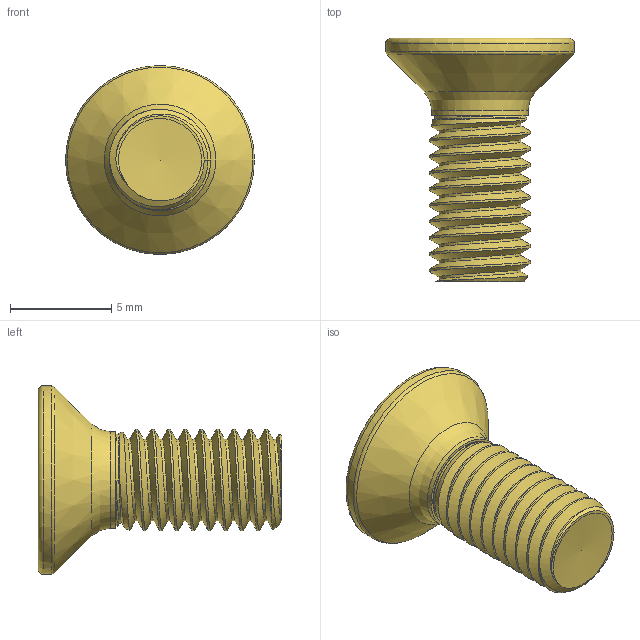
import cadquery as cq
import math

length = 12.0

head_radius = 4.65
head_land_depth = 0.75
head_edge_fillet = 0.25

neck_radius = 2.38
neck_end_depth = 3.8
neck_fillet = 1.28

pitch = 0.8
major_radius = 2.5
minor_radius = 2.02
flank_angle = 30.0
root_width = 0.14
tip_radius = 2.18
tip_chamfer_length = 0.52
lead_in_radius = 2.25
lead_in_end_depth = 4.6

tip_dimple_radius = 2.05
tip_dimple_depth = 0.1

groove_end_depth = 4.24
groove_turns = 11
groove_overshoot = 0.04
run_out_turns = 0.5
run_out_height = 0.34
run_out_rise = 0.22
fade_turns = 0.5
fade_height = 0.03
fade_rise = 0.06
cylinder_angle = 360.0


def make_head():
    """Countersunk head with its rounded rim and the filleted neck."""
    cone_end_depth = head_land_depth + head_radius - neck_radius
    profile = (
        cq.Workplane("XZ")
        .lineTo(head_radius, 0)
        .lineTo(head_radius, -head_land_depth)
        .lineTo(neck_radius, -cone_end_depth)
        .lineTo(neck_radius, -neck_end_depth)
        .lineTo(0, -neck_end_depth)
        .close()
    )
    head = profile.revolve(360, (0, 0, 0), (0, 1, 0))

    def rings_at(depth, radius):
        """Circular edges lying at this depth and no larger than this radius."""
        tolerance = 0.01
        low = (-radius - tolerance, -radius - tolerance, -depth - tolerance)
        high = (radius + tolerance, radius + tolerance, -depth + tolerance)
        return head.edges(cq.selectors.BoxSelector(low, high, boundingbox=True)).edges("%CIRCLE")

    head = rings_at(cone_end_depth, neck_radius).fillet(neck_fillet)
    head = rings_at(head_land_depth, head_radius).fillet(head_edge_fillet)
    return rings_at(0, head_radius).fillet(head_edge_fillet)


def make_shank():
    """Plain shank with a tapered lead-in below the neck and a chamfered, dimpled tip."""
    return (
        cq.Workplane("XZ")
        .moveTo(0, -neck_end_depth)
        .lineTo(lead_in_radius, -neck_end_depth)
        .lineTo(major_radius, -lead_in_end_depth)
        .lineTo(major_radius, tip_chamfer_length - length)
        .lineTo(tip_radius, -length)
        .lineTo(tip_dimple_radius, -length)
        .lineTo(0, tip_dimple_depth - length)
        .close()
        .revolve(360, (0, 0, 0), (0, 1, 0))
    )


def groove_corners():
    """Corners (radius, height) of the trapezoidal groove section, in order around it."""
    outer_radius = major_radius + groove_overshoot
    root_half = root_width / 2
    mouth_half = root_half + (outer_radius - minor_radius) * math.tan(math.radians(flank_angle))
    return [
        (minor_radius, -root_half),
        (outer_radius, -mouth_half),
        (outer_radius, mouth_half),
        (minor_radius, root_half),
    ]


def groove_walls(start, turns, height, rise):
    """Helical faces traced by the groove section as it climbs by height and moves outwards by rise.

    The start is a place on the path: (turn, z, outward shift of the section).
    """
    start_turn, start_z, start_shift = start
    slant_length = math.hypot(height, rise)
    cone_angle = math.degrees(math.atan2(rise, height)) if rise else cylinder_angle
    helices = []
    for corner_radius, corner_z in groove_corners():
        helix = cq.Wire.makeHelix(
            slant_length / turns, slant_length, corner_radius + start_shift, angle=cone_angle
        )
        helix = helix.rotate(cq.Vector(0, 0, 0), cq.Vector(0, 0, 1), 360 * start_turn)
        helices.append(helix.translate(cq.Vector(0, 0, start_z + corner_z)))
    return [cq.Face.makeRuledSurface(helices[i - 1], helices[i]) for i in range(len(helices))]


def groove_cap(place):
    """Flat section that closes the groove at a place on its path."""
    turn, z, shift = place
    angle = 2 * math.pi * turn
    points = []
    for corner_radius, corner_z in groove_corners():
        radius = corner_radius + shift
        points.append(cq.Vector(radius * math.cos(angle), radius * math.sin(angle), z + corner_z))
    return cq.Face.makeFromWires(cq.Wire.makePolygon(points, close=True))


def make_groove():
    """Right-hand thread groove: full depth from below the tip, then rising out at the neck."""
    stretches = [(1, pitch, 0)] * groove_turns
    stretches.append((run_out_turns, run_out_height, run_out_rise))
    stretches.append((fade_turns, fade_height, fade_rise))

    place = (-groove_turns, -groove_end_depth - groove_turns * pitch, 0)
    faces = [groove_cap(place)]
    for turns, height, rise in stretches:
        faces += groove_walls(place, turns, height, rise)
        turn, z, shift = place
        place = (turn + turns, z + height, shift + rise)
    faces.append(groove_cap(place))
    return cq.Workplane(cq.Solid.makeSolid(cq.Shell.makeShell(faces)))


threaded_shank = make_shank().cut(make_groove())
screw = make_head().union(threaded_shank)

result = screw.rotate((0, 0, 0), (1, 0, 0), -90)